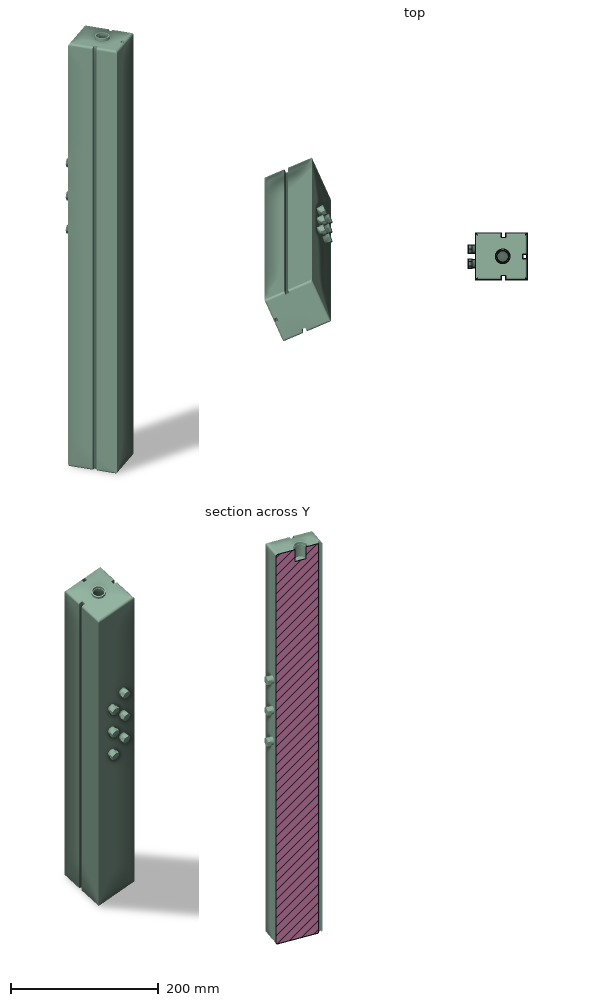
import cadquery as cq

total_height = 640.0
body_width_x = 70.5
body_width_y = 64.0
boss_height = 4.15
body_height = total_height - boss_height
end_fillet = 3.0

groove_width = 6.0
groove_depth = 6.1
groove_x = 2.9

channel_web = 1.0
channel_depth = groove_depth - channel_web

boss_x = 2.0
boss_outer_diameter = 20.0
boss_inner_diameter = 16.5
bore_diameter = 15.5
bore_depth = 19.0

connector_length = 9.5
hex_length = 5.0
hex_across_flats = 11.5
neck_diameter = 11.5
connector_spacing_y = 20.0
pair_count = 3
pair_pitch = 50.0
pair_stagger = 20.0
top_connector_z = 446.0


def make_body():
    """Plain bar with both ends rounded all round."""
    bar = cq.Workplane("XY").box(body_width_x, body_width_y, body_height, centered=(True, True, False))
    return bar.faces("<Z or >Z").fillet(end_fillet)


def make_groove(x, y, size_x, size_y):
    """Full-length rectangular cutter centred at (x, y)."""
    cutter = cq.Workplane("XY").box(size_x, size_y, body_height, centered=(True, True, False))
    return cutter.translate((x, y, 0))


def make_connector(y, z, hex_angle):
    """Round neck with a hexagonal head, pointing to -X; the angle turns the hexagon about X."""
    base = cq.Workplane("YZ", origin=(-body_width_x / 2, y, z))
    neck = base.circle(neck_diameter / 2).extrude(-connector_length)
    tip = base.workplane(offset=-connector_length).transformed(rotate=(0, 0, hex_angle))
    head = tip.polygon(6, hex_across_flats, circumscribed=True).extrude(hex_length)
    return neck.union(head)


result = make_body()

for side in (-1, 1):
    result = result.cut(make_groove(groove_x, side * body_width_y / 2, groove_width, 2 * groove_depth))

channel_x = body_width_x / 2 - channel_web - channel_depth / 2
result = result.cut(make_groove(channel_x, 0, channel_depth, groove_width))

top_plane = cq.Workplane("XY", origin=(boss_x, 0, body_height))
ring = top_plane.circle(boss_outer_diameter / 2).circle(boss_inner_diameter / 2).extrude(boss_height)
bore = top_plane.circle(bore_diameter / 2).extrude(-bore_depth)
result = result.union(ring).cut(bore)

for pair in range(pair_count):
    upper_z = top_connector_z - pair * pair_pitch
    result = result.union(make_connector(-connector_spacing_y / 2, upper_z, 90))
    result = result.union(make_connector(connector_spacing_y / 2, upper_z - pair_stagger, 0))